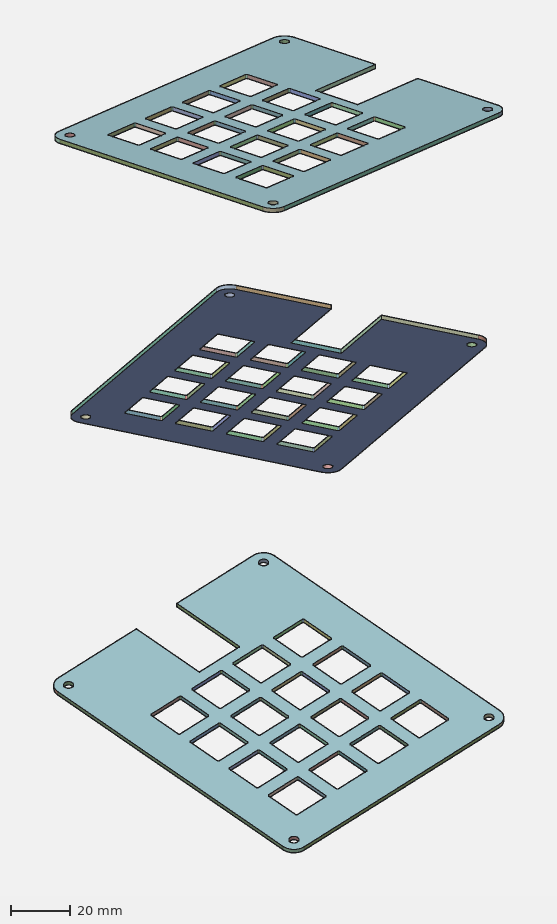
import cadquery as cq

plate_width = 101.0
plate_length = 119.9
plate_thickness = 1.5
corner_radius = 5.0

mount_hole_diameter = 3.4
mount_hole_spacing_x = plate_width - 2 * corner_radius
mount_hole_spacing_y = plate_length - 2 * corner_radius

notch_width = 18.8
notch_depth = 30.7
notch_center_x = 0.4

keys_per_side = 4
key_pitch = 19.1
key_size = 14.0
key_corner_radius = 0.5
key_grid_center = (-0.5, -10.8)


def make_plate():
    """Flat plate with rounded corners."""
    return (
        cq.Workplane("XY")
        .rect(plate_width, plate_length)
        .extrude(plate_thickness)
        .edges("|Z")
        .fillet(corner_radius)
    )


def make_mount_holes():
    """Cutters for the four corner holes."""
    return (
        cq.Workplane("XY")
        .rect(mount_hole_spacing_x, mount_hole_spacing_y, forConstruction=True)
        .vertices()
        .circle(mount_hole_diameter / 2)
        .extrude(plate_thickness)
    )


def make_notch():
    """Cutter for the rectangular notch."""
    notch_center_y = (plate_length - notch_depth) / 2
    return (
        cq.Workplane("XY")
        .center(notch_center_x, notch_center_y)
        .rect(notch_width, notch_depth)
        .extrude(plate_thickness)
    )


def make_key_openings():
    """Cutters for the grid of square openings with slightly rounded corners."""
    return (
        cq.Workplane("XY")
        .center(*key_grid_center)
        .rarray(key_pitch, key_pitch, keys_per_side, keys_per_side)
        .rect(key_size, key_size)
        .extrude(plate_thickness)
        .edges("|Z")
        .fillet(key_corner_radius)
    )


result = make_plate().cut(make_mount_holes()).cut(make_notch()).cut(make_key_openings())